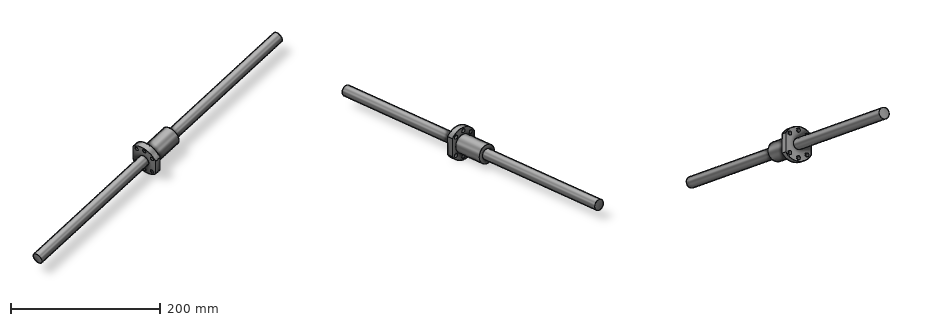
import cadquery as cq
import math

shaft_diameter = 16.0
shaft_length = 500.0

nut_length = 56.0
nut_diameter = 28.0
nut_front = -nut_length / 2
flange_diameter = 48.0
flange_width = 40.0
flange_thickness = 9.5

bolt_hole_diameter = 5.5
bolt_circle_diameter = 38.0
bolt_angles = [45, 90, 135, 225, 270, 315]


def rod(diameter, start, length):
    """Cylinder around the Y axis that runs from Y = start toward +Y."""
    start_centre = cq.Vector(0, start, 0)
    direction = cq.Vector(0, 1, 0)
    return cq.Workplane(cq.Solid.makeCylinder(diameter / 2, length, start_centre, direction))


def make_shaft():
    return rod(shaft_diameter, -shaft_length / 2, shaft_length)


def make_flange():
    """Round flange cut to two flats that face -X and +X."""
    disc = rod(flange_diameter, nut_front, flange_thickness)
    flats = cq.Workplane().box(flange_width, nut_length, flange_diameter)
    return disc.intersect(flats)


def cut_bolt_holes(nut):
    """Drill the mounting holes through the flange."""
    bolt_circle_radius = bolt_circle_diameter / 2
    bolt_hole = rod(bolt_hole_diameter, nut_front, flange_thickness)
    for angle in bolt_angles:
        x = bolt_circle_radius * math.cos(math.radians(angle))
        z = bolt_circle_radius * math.sin(math.radians(angle))
        nut = nut.cut(bolt_hole.translate((x, 0, z)))
    return nut


def make_nut():
    """Cylindrical nut body with its flange, bored to fit the shaft."""
    body = rod(nut_diameter, nut_front, nut_length)
    bore = rod(shaft_diameter, nut_front, nut_length)
    return cut_bolt_holes(make_flange().union(body).cut(bore))


shaft = make_shaft()
nut = make_nut()

result = cq.Compound.makeCompound([shaft.val(), *nut.vals()])